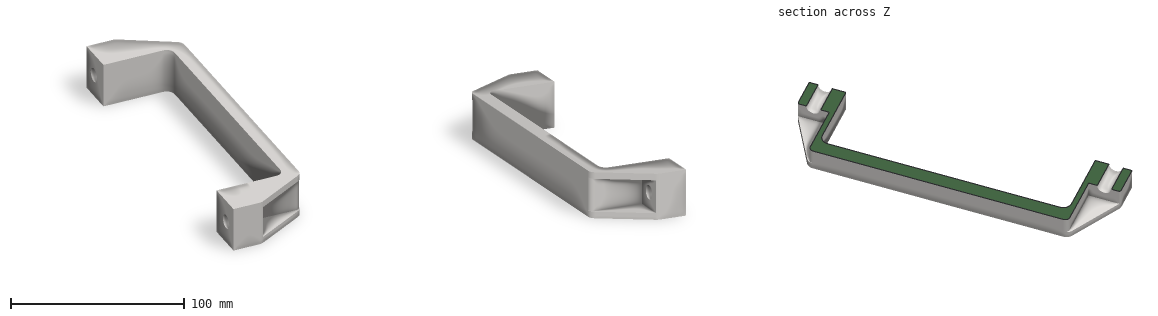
import cadquery as cq
import math

length = 200.0
depth = 52.0
height = 28.0

bar_thickness = 9.0
leg_width = 23.0
inner_radius = 5.0

shoulder_start = 18.0
shoulder_angle = 60.2
shoulder_top_radius = 5.0
shoulder_base_radius = 5.0

pocket_height = 20.0
pocket_floor = 19.5
pocket_ledge = 19.0
pocket_top_radius = 3.0

hole_diameter = 8.5
hole_inset = 10.0

half_length = length / 2
shoulder_run = (depth - shoulder_start) / math.tan(math.radians(shoulder_angle))


def round_vertical_edges(body, points, radius):
    """Fillet the edges parallel to Z that pass through the given XY points."""
    for x, y in points:
        edge = cq.selectors.NearestToPointSelector((x, y, height / 2))
        body = body.edges("|Z").edges(edge).fillet(radius)
    return body


def mirrored_points(x, y):
    """The XY point and its mirror image across the middle of the handle."""
    return [(-x, y), (x, y)]


def handle_body():
    """Extruded bow shape with its feet on the plane Y = 0."""
    top_x = half_length - shoulder_run
    inner_x = half_length - leg_width
    inner_y = depth - bar_thickness
    outline = [
        (-half_length, 0),
        (-half_length, shoulder_start),
        (-top_x, depth),
        (top_x, depth),
        (half_length, shoulder_start),
        (half_length, 0),
        (inner_x, 0),
        (inner_x, inner_y),
        (-inner_x, inner_y),
        (-inner_x, 0),
    ]
    body = cq.Workplane("XY").polyline(outline).close().extrude(height)
    body = round_vertical_edges(body, mirrored_points(half_length, shoulder_start), shoulder_base_radius)
    body = round_vertical_edges(body, mirrored_points(top_x, depth), shoulder_top_radius)
    return round_vertical_edges(body, mirrored_points(inner_x, inner_y), inner_radius)


def left_pocket():
    """Space left of the pocket floor, whose top edge rolls over onto the bar."""
    floor_x = pocket_floor - half_length
    return (
        cq.Workplane("XY", origin=(0, 0, (height - pocket_height) / 2))
        .moveTo(-half_length, pocket_ledge)
        .lineTo(floor_x, pocket_ledge)
        .lineTo(floor_x, depth - pocket_top_radius)
        .radiusArc((floor_x + pocket_top_radius, depth), pocket_top_radius)
        .lineTo(-half_length, depth)
        .close()
        .extrude(pocket_height)
    )


def left_screw_hole():
    hole_x = hole_inset - half_length
    return (
        cq.Workplane("XZ", origin=(hole_x, 0, height / 2))
        .circle(hole_diameter / 2)
        .extrude(-depth)
    )


left_cuts = left_pocket().union(left_screw_hole())
right_cuts = left_cuts.mirror("YZ")
result = handle_body().cut(left_cuts).cut(right_cuts)